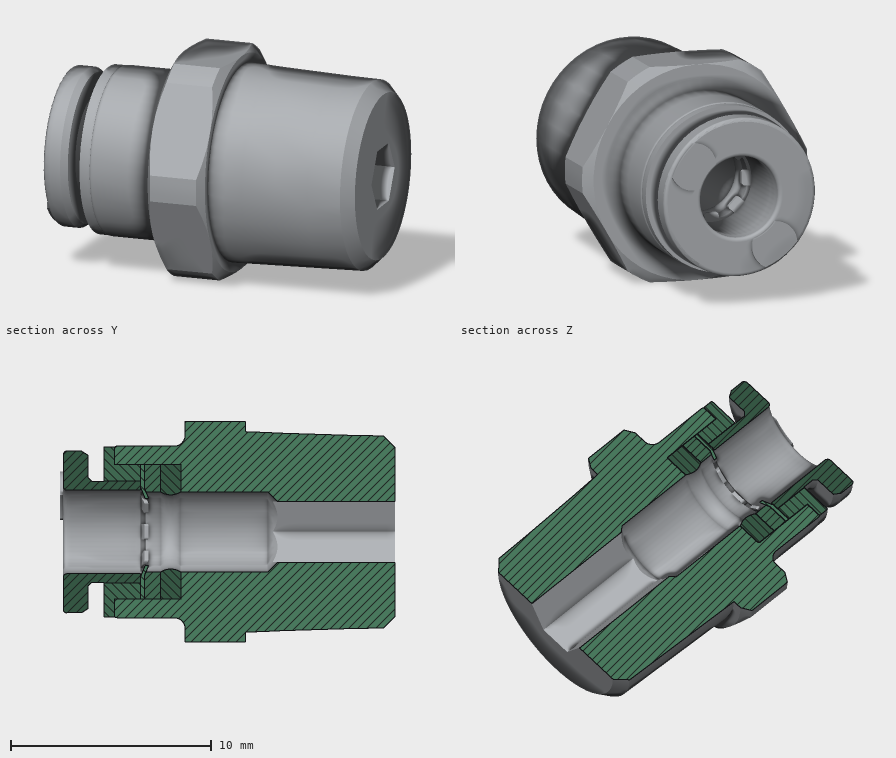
import cadquery as cq
import math


pad_height = 0.15
flange_back = 1.4
cartridge_front = 2.17
housing_front = 2.7
grip_front = 4.0
grip_thickness = 0.2
backing_front = grip_front + grip_thickness
seal_front = 5.01
chamber_end = 6.01
hex_front = 6.21
hex_back = 9.24
socket_end = 10.35
fitting_length = 16.7

tube_bore_radius = 1.99
stem_radius = 2.52
chamber_radius = 3.34

neck_radius = 4.3
neck_rounding_length = 0.15
neck_rounding_depth = 0.05
neck_fillet = 0.52
hex_flats = 11.0
hex_corner_diameter = 12.0
hex_corner_radius = hex_corner_diameter / 2
hex_bevel_length = 0.3
hex_face_radius = hex_flats / 2
thread_root_radius = 5.01
thread_taper = 1 / 32
thread_chamfer = 0.58
hex_key_flats = 3.0

flange_radius = 4.04
flange_rim_fillet = 0.18
flange_back_chamfer_length = 0.33
flange_back_chamfer_depth = 0.22
stem_blend = 0.18
collar_bore_radius = 2.07
collar_mouth_fillet = 0.2
slot_width = 0.97
slot_tip = 1.95
slot_depth = 0.08
slot_angle = 45.0
pad_radius = 1.2
pad_center_radius = 3.1
pad_angles = (35.3, 234.7)

cartridge_radius = 4.26

tooth_count = 8
tooth_width = 0.77
tooth_tip_radius = 1.65
tooth_corner_fillet = 0.1
grip_ring_inner_radius = 2.2
tooth_lean = 0.4

seal_lip_radius = 1.84


def revolve_about_x(profile):
    """Turn a profile drawn as (x, radius) into a solid about the X axis."""
    return profile.close().revolve(360, (0, 0, 0), (1, 0, 0))


def revolve_points(points):
    return revolve_about_x(cq.Workplane("XY").polyline(points))


def section_at(x):
    """Workplane across the axis at x: local x is +Y, local y is +Z, extruding towards +X."""
    return cq.Workplane("YZ", origin=(x, 0, 0))


def axial_hexagon(flats, start, end):
    """Hexagonal prism along X with two flats facing +Z and -Z."""
    across_corners = flats / math.cos(math.pi / 6)
    return section_at(start).polygon(6, across_corners).extrude(end - start)


def make_hexagon_collar():
    """Hexagon with turned corners and a conical bevel at both ends."""
    turned_blank = revolve_points([
        (hex_front, 0),
        (hex_front, hex_face_radius),
        (hex_front + hex_bevel_length, hex_corner_radius),
        (hex_back - hex_bevel_length, hex_corner_radius),
        (hex_back, hex_face_radius),
        (hex_back, 0),
    ])
    return axial_hexagon(hex_flats, hex_front, hex_back).intersect(turned_blank)


def make_housing():
    """Neck, hexagon and tapered male end, with the chamber and tube socket inside."""
    fillet_start = hex_front - neck_fillet
    fillet_center_radius = neck_radius + neck_fillet
    fillet_offset = neck_fillet * math.sqrt(0.5)
    rounding_radius = (neck_rounding_length**2 + neck_rounding_depth**2) / (2 * neck_rounding_depth)
    neck = revolve_about_x(
        cq.Workplane("XY")
        .moveTo(housing_front, 0)
        .lineTo(housing_front, neck_radius - neck_rounding_depth)
        .radiusArc((housing_front + neck_rounding_length, neck_radius), rounding_radius)
        .lineTo(fillet_start, neck_radius)
        .threePointArc(
            (fillet_start + fillet_offset, fillet_center_radius - fillet_offset),
            (hex_front, fillet_center_radius),
        )
        .lineTo(hex_front, 0)
    )

    chamfer_start = fitting_length - thread_chamfer
    thread_end_radius = thread_root_radius - thread_taper * (chamfer_start - hex_back)
    male_end = revolve_points([
        (hex_back, 0),
        (hex_back, thread_root_radius),
        (chamfer_start, thread_end_radius),
        (fitting_length, thread_end_radius - thread_chamfer),
        (fitting_length, 0),
    ])

    cone_end = socket_end + tube_bore_radius - hex_key_flats / 2
    bore = revolve_points([
        (housing_front, 0),
        (housing_front, chamber_radius),
        (chamber_end, chamber_radius),
        (chamber_end, tube_bore_radius),
        (socket_end, tube_bore_radius),
        (cone_end, hex_key_flats / 2),
        (cone_end, 0),
    ])
    hex_key_hole = axial_hexagon(hex_key_flats, socket_end, fitting_length)

    outside = neck.union(make_hexagon_collar()).union(male_end)
    return outside.cut(bore).cut(hex_key_hole)


def make_cartridge():
    """Flanged sleeve that closes the chamber and guides the collar."""
    return revolve_points([
        (cartridge_front, stem_radius),
        (cartridge_front, cartridge_radius),
        (housing_front, cartridge_radius),
        (housing_front, chamber_radius),
        (grip_front, chamber_radius),
        (grip_front, stem_radius),
    ])


def make_collar_blank():
    """Flange and stem with a rounded rim and bore mouth."""
    face = pad_height
    rim_offset = flange_rim_fillet * math.sqrt(0.5)
    mouth_offset = collar_mouth_fillet * math.sqrt(0.5)
    rim_start = flange_radius - flange_rim_fillet
    mouth_start = collar_bore_radius + collar_mouth_fillet
    return revolve_about_x(
        cq.Workplane("XY")
        .moveTo(face, mouth_start)
        .lineTo(face, rim_start)
        .threePointArc(
            (face + flange_rim_fillet - rim_offset, rim_start + rim_offset),
            (face + flange_rim_fillet, flange_radius),
        )
        .lineTo(flange_back - flange_back_chamfer_length, flange_radius)
        .lineTo(flange_back, flange_radius - flange_back_chamfer_depth)
        .lineTo(flange_back, stem_radius + stem_blend)
        .lineTo(flange_back + stem_blend, stem_radius)
        .lineTo(grip_front, stem_radius)
        .lineTo(grip_front, collar_bore_radius)
        .lineTo(face + collar_mouth_fillet, collar_bore_radius)
        .threePointArc(
            (face + collar_mouth_fillet - mouth_offset, mouth_start - mouth_offset),
            (face, mouth_start),
        )
    )


def make_stem_slot():
    """Shallow round-ended slot along the stem, open at its inner end."""
    slot_radius = slot_width / 2
    tip_center = slot_tip + slot_radius
    slot = (
        cq.Workplane("XZ")
        .moveTo(grip_front, -slot_radius)
        .lineTo(tip_center, -slot_radius)
        .threePointArc((slot_tip, 0), (tip_center, slot_radius))
        .lineTo(grip_front, slot_radius)
        .close()
        .extrude(-chamber_radius)
    )
    floor = section_at(slot_tip).circle(stem_radius - slot_depth).extrude(grip_front - slot_tip)
    return slot.cut(floor).rotate((0, 0, 0), (1, 0, 0), slot_angle)


def make_face_pads():
    """Raised round pads, trimmed to the flat ring of the flange face."""
    face_ring = (
        section_at(0)
        .circle(flange_radius - flange_rim_fillet)
        .circle(collar_bore_radius + collar_mouth_fillet)
        .extrude(pad_height)
    )
    centers = [
        (
            pad_center_radius * math.cos(math.radians(angle)),
            pad_center_radius * math.sin(math.radians(angle)),
        )
        for angle in pad_angles
    ]
    return section_at(0).pushPoints(centers).circle(pad_radius).extrude(pad_height).intersect(face_ring)


def make_release_collar():
    return make_collar_blank().cut(make_stem_slot()).union(make_face_pads())


def make_grip_ring():
    """Flat ring whose inner teeth lean away from the tube entry."""
    ring = (
        section_at(grip_front)
        .circle(chamber_radius)
        .circle(grip_ring_inner_radius)
        .extrude(grip_thickness)
    )
    tooth_depth = tooth_lean * (grip_ring_inner_radius - tooth_tip_radius)
    cone = revolve_points([
        (grip_front, grip_ring_inner_radius),
        (grip_front + tooth_depth, tooth_tip_radius),
        (backing_front + tooth_depth, tooth_tip_radius),
        (backing_front, grip_ring_inner_radius),
    ])
    tooth_blank = (
        section_at(grip_front)
        .center((tooth_tip_radius + chamber_radius) / 2, 0)
        .rect(chamber_radius - tooth_tip_radius, tooth_width)
        .extrude(grip_thickness + tooth_depth)
        .edges("|X and <Y")
        .fillet(tooth_corner_fillet)
    )
    tooth = cone.intersect(tooth_blank)
    for index in range(tooth_count):
        ring = ring.union(tooth.rotate((0, 0, 0), (1, 0, 0), index * 360 / tooth_count))
    return ring


def make_backing_ring():
    """Spacer between the grip ring and the seal, coned to support the teeth."""
    cone_depth = tooth_lean * (grip_ring_inner_radius - tube_bore_radius)
    return revolve_points([
        (backing_front, chamber_radius),
        (backing_front, grip_ring_inner_radius),
        (backing_front + cone_depth, tube_bore_radius),
        (seal_front, tube_bore_radius),
        (seal_front, chamber_radius),
    ])


def make_seal():
    """Ring with a rounded lip that grips the tube."""
    return revolve_about_x(
        cq.Workplane("XY")
        .moveTo(seal_front, chamber_radius)
        .lineTo(seal_front, tube_bore_radius)
        .threePointArc(((seal_front + chamber_end) / 2, seal_lip_radius), (chamber_end, tube_bore_radius))
        .lineTo(chamber_end, chamber_radius)
    )


housing = make_housing()
cartridge = make_cartridge()
release_collar = make_release_collar()
grip_ring = make_grip_ring()
backing_ring = make_backing_ring()
seal = make_seal()

result = cq.Compound.makeCompound([
    housing.solids().val(),
    cartridge.solids().val(),
    release_collar.solids().val(),
    grip_ring.solids().val(),
    backing_ring.solids().val(),
    seal.solids().val(),
])